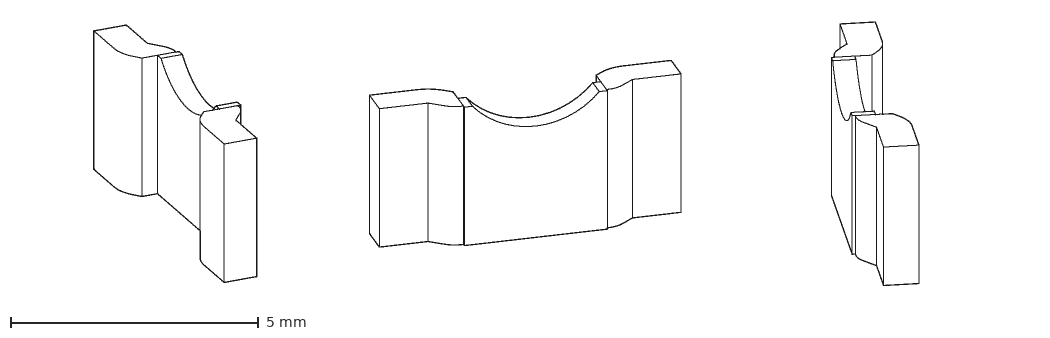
import cadquery as cq
import math

length = 6.35
depth = 1.13
height = 3.05

web_width = 3.01
web_thickness = 0.475
notch_width = 2.67
notch_depth = 0.6

block_thickness = 0.725
block_back = 1.065
front_flat = 1.0
back_flat = 1.02
bend_angle = math.radians(38.7)
front_bend_radius = 0.825
back_bend_radius = 0.52


def make_web():
    """Upright plate with a shallow circular notch in its top edge."""
    half_width = web_width / 2
    half_notch = notch_width / 2
    return (
        cq.Workplane("XZ", origin=(0, depth, 0))
        .moveTo(-half_width, 0)
        .lineTo(half_width, 0)
        .lineTo(half_width, height)
        .lineTo(half_notch, height)
        .threePointArc((0, height - notch_depth), (-half_notch, height))
        .lineTo(-half_width, height)
        .close()
        .extrude(web_thickness)
    )


def bend_offset(radius, angle):
    """X and Y travelled along a bend, measured from its end parallel to X."""
    return radius * math.sin(angle), radius * (1 - math.cos(angle))


def make_end_block(side):
    """End block that steps back to the web; side is -1 for the left, 1 for the right."""
    outer = length / 2
    inner = web_width / 2

    front_start = outer - front_flat
    front_run, front_rise = bend_offset(front_bend_radius, bend_angle)
    front_mid_run, front_mid_rise = bend_offset(front_bend_radius, bend_angle / 2)
    slope_start = front_start - front_run
    front_corner = front_rise + (slope_start - inner) * math.tan(bend_angle)

    back_start = outer - back_flat
    back_run, back_drop = bend_offset(back_bend_radius, bend_angle)
    back_mid_run, back_mid_drop = bend_offset(back_bend_radius, bend_angle / 2)
    slope_end_y = block_back - back_drop
    slope_end_x = back_start - (slope_end_y - block_thickness) / math.tan(bend_angle)
    level_x = slope_end_x - back_run

    return (
        cq.Workplane("XY")
        .moveTo(side * outer, 0)
        .lineTo(side * front_start, 0)
        .threePointArc(
            (side * (front_start - front_mid_run), front_mid_rise),
            (side * slope_start, front_rise),
        )
        .lineTo(side * inner, front_corner)
        .lineTo(side * inner, block_back)
        .lineTo(side * level_x, block_back)
        .threePointArc(
            (side * (level_x + back_mid_run), block_back - back_mid_drop),
            (side * slope_end_x, slope_end_y),
        )
        .lineTo(side * back_start, block_thickness)
        .lineTo(side * outer, block_thickness)
        .close()
        .extrude(height)
    )


web = make_web()
end_blocks = [make_end_block(side) for side in (-1, 1)]

result = cq.Compound.makeCompound([web.val(), *[block.val() for block in end_blocks]])